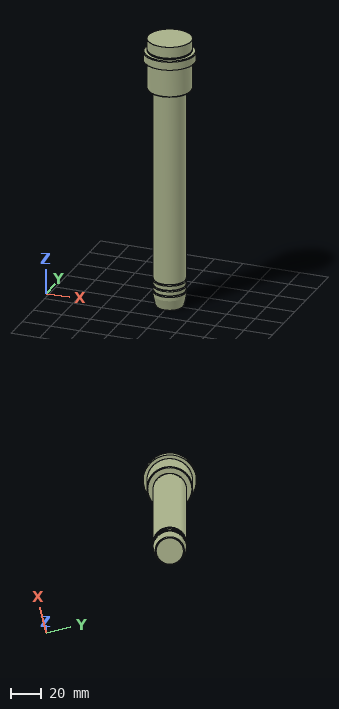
import cadquery as cq

total_length = 191.0

head_diameter = 30.0
head_edge_chamfer = 0.5
head_bottom_z = total_length - 36.0
flange_diameter = 35.0
flange_height = 6.3
flange_top_z = total_length - 9.0
flange_edge_chamfer = 0.5

head_relief_diameter = 28.8
head_relief_width = 1.0

shaft_diameter = 22.0
neck_diameter = 20.5
neck_length = 1.1

tip_diameter = 19.0
taper_length = 7.5
tip_edge_chamfer = 0.5

groove_count = 3
groove_width = 1.1
groove_depth = 0.5
groove_pitch = 4.0
first_groove_z = 10.9


def cylinder(diameter, bottom_z, height):
    return cq.Workplane("XY").workplane(offset=bottom_z).circle(diameter / 2).extrude(height)


def ring_cutter(outer_diameter, inner_diameter, bottom_z, height):
    """Ring that turns a cylinder down from the outer to the inner diameter."""
    clearance = 2.0
    blank = cylinder(outer_diameter + clearance, bottom_z, height)
    return blank.cut(cylinder(inner_diameter, bottom_z, height))


def v_groove_cutter(center_z):
    """Ring of diamond section whose inner point reaches the groove depth."""
    surface_radius = shaft_diameter / 2
    section = [
        (surface_radius - groove_depth, center_z),
        (surface_radius, center_z - groove_width / 2),
        (surface_radius + groove_depth, center_z),
        (surface_radius, center_z + groove_width / 2),
    ]
    return cq.Workplane("XZ").polyline(section).close().revolve(360, (0, 0), (0, 1))


def make_head():
    head = cylinder(head_diameter, head_bottom_z, total_length - head_bottom_z)
    head = head.faces("<Z").edges().chamfer(head_edge_chamfer)
    return head.cut(ring_cutter(head_diameter, head_relief_diameter, flange_top_z, head_relief_width))


def make_flange():
    flange = cylinder(flange_diameter, flange_top_z - flange_height, flange_height)
    return flange.faces(">Z").edges().chamfer(flange_edge_chamfer)


def make_shaft():
    straight = cylinder(shaft_diameter, taper_length, head_bottom_z - taper_length)
    neck_bottom_z = head_bottom_z - neck_length
    straight = straight.cut(ring_cutter(shaft_diameter, neck_diameter, neck_bottom_z, neck_length))
    for index in range(groove_count):
        straight = straight.cut(v_groove_cutter(first_groove_z + index * groove_pitch))
    return straight


def make_tip():
    tip = (
        cq.Workplane("XY")
        .circle(tip_diameter / 2)
        .workplane(offset=taper_length)
        .circle(shaft_diameter / 2)
        .loft(ruled=True)
    )
    return tip.faces("<Z").edges().chamfer(tip_edge_chamfer)


result = make_head().union(make_flange()).union(make_shaft()).union(make_tip())